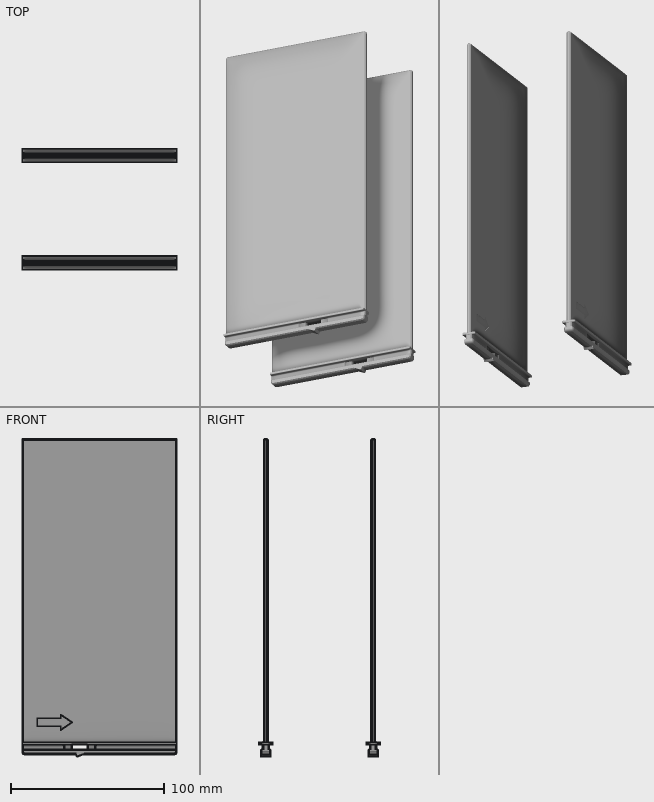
import cadquery as cq

length = 101.0
divider_pitch = 70.0
divider_count = 2

panel_thickness = 3.0
panel_top = 206.0
panel_top_bevel = 1.0
panel_end_bevel = 0.75

foot_width = 6.5
foot_height = 3.5
foot_end_radius = 2.0
foot_edge_bevel = 0.7
neck_width = 4.4
neck_top = 6.4
neck_end_bevel = 0.7
flange_width = 9.0
flange_top = 8.0
flange_edge_radius = 0.3
panel_root_radius = 0.4
neck_root_radius = 0.6

latch_x = 37.6
window_length = 9.8
thinned_length = 19.6
thinned_width = 3.0
opening_flare = 0.7
nub_start_x = 35.0
nub_peak_x = 36.0
nub_end_x = 41.0
nub_depth = 1.5

arrow_tail_x = 10.0
arrow_neck_x = 25.1
arrow_tip_x = 32.6
arrow_z = 21.0
arrow_shaft_width = 5.0
arrow_head_width = 10.2
arrow_depth = 0.2


def bar(x_start, x_end, width, z_start, z_end):
    """Block centred on Y = 0 between two X and two Z positions."""
    block = cq.Workplane("XY").box(x_end - x_start, width, z_end - z_start, centered=(False, True, False))
    return block.translate((x_start, 0, z_start))


def make_panel():
    panel = bar(0, length, panel_thickness, flange_top, panel_top)
    panel = panel.faces(">Z").edges("|X").chamfer(panel_top_bevel)
    return panel.faces("<X or >X").edges("not <Z").chamfer(panel_end_bevel)


def make_flange():
    return bar(0, length, flange_width, neck_top, flange_top).edges().fillet(flange_edge_radius)


def flared_opening(inner_length, y_inner, y_outer):
    """Full-height cutter at the latch, longer by the flare at each end where it meets y_outer."""
    half_inner = inner_length / 2
    half_outer = half_inner + opening_flare
    outline = [
        (latch_x - half_inner, y_inner),
        (latch_x + half_inner, y_inner),
        (latch_x + half_outer, y_outer),
        (latch_x - half_outer, y_outer),
    ]
    base = cq.Workplane("XY", origin=(0, 0, foot_height))
    return base.polyline(outline).close().extrude(neck_top - foot_height)


def make_neck():
    neck = bar(0, length, neck_width, foot_height, neck_top).edges("|Z").chamfer(neck_end_bevel)
    for side in (-1, 1):
        neck = neck.cut(flared_opening(thinned_length, side * thinned_width / 2, side * neck_width / 2))
        neck = neck.cut(flared_opening(window_length, 0, side * thinned_width / 2))
    return neck


def make_foot():
    foot = bar(0, length, foot_width, 0, foot_height)
    foot = foot.faces("<Z").edges("|Y").fillet(foot_end_radius)
    return foot.faces("<Y or >Y").edges().chamfer(foot_edge_bevel)


def make_nub():
    outline = [
        (nub_start_x, foot_edge_bevel),
        (nub_start_x, 0),
        (nub_peak_x, -nub_depth),
        (nub_end_x, foot_edge_bevel),
    ]
    return cq.Workplane("XZ").polyline(outline).close().extrude(foot_width / 2, both=True)


def make_arrow():
    shaft = arrow_shaft_width / 2
    head = arrow_head_width / 2
    outline = [
        (arrow_tail_x, arrow_z - shaft),
        (arrow_neck_x, arrow_z - shaft),
        (arrow_neck_x, arrow_z - head),
        (arrow_tip_x, arrow_z),
        (arrow_neck_x, arrow_z + head),
        (arrow_neck_x, arrow_z + shaft),
        (arrow_tail_x, arrow_z + shaft),
    ]
    front_face = cq.Workplane("XZ", origin=(0, -panel_thickness / 2, 0))
    return front_face.polyline(outline).close().extrude(-arrow_depth)


def round_root(divider, width, z, radius):
    """Fillet the long inside corners where a wall of the given width meets the flange at height z."""
    margin = 0.01
    for y in (-width / 2, width / 2):
        corner = cq.selectors.BoxSelector(
            (-margin, y - margin, z - margin),
            (length + margin, y + margin, z + margin),
            boundingbox=True,
        )
        divider = divider.edges(corner).fillet(radius)
    return divider


def make_divider():
    divider = make_panel().union(make_flange()).union(make_neck()).union(make_foot()).union(make_nub())
    divider = round_root(divider, panel_thickness, flange_top, panel_root_radius)
    divider = round_root(divider, neck_width, neck_top, neck_root_radius)
    return divider.cut(make_arrow())


dividers = [make_divider().translate((0, i * divider_pitch, 0)) for i in range(divider_count)]

result = cq.Compound.makeCompound([divider.val() for divider in dividers])